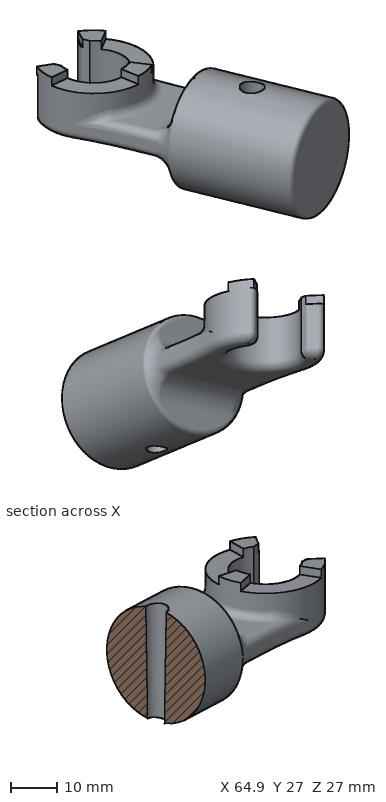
import cadquery as cq
import math

ring_outer_r = 13.0
ring_inner_r = 8.0
ring_top_z = 9.0
mouth_half_width = 6.6
mouth_face_angle = 135.0
mouth_edge_radius = 1.0

tooth_height = 2.0
tooth_half_angle = 13.5
tooth_angles = (0.0, 120.0, 240.0)

plate_half_width = 12.0
plate_half_thickness = 3.0
plate_straight_x = 15.0
flank_radius = 100.0
lower_edge_radius = 2.0
plate_edge_radius = 2.0
ring_plate_radius = 2.0

barrel_r = 13.5
barrel_start_x = 25.0
barrel_length = 31.0
barrel_edge_radius = 1.0
plate_barrel_radius = 5.0

pin_hole_x = 39.0
pin_hole_top_d = 5.5
pin_hole_bottom_d = 4.5

base_z = -plate_half_thickness
flare_x = mouth_half_width / math.tan(math.radians(mouth_face_angle))
tolerance = 0.01


def polar(radius, angle):
    """Point on a circle about the ring axis, angle in degrees from +X."""
    a = math.radians(angle)
    return (radius * math.cos(a), radius * math.sin(a))


def disc(radius, bottom_z, top_z):
    """Upright cylinder on the ring axis."""
    return cq.Workplane("XY").workplane(offset=bottom_z).circle(radius).extrude(top_z - bottom_z)


def make_mouth_cutter():
    """Bore plus the opening toward -X: parallel walls that flare out along radial faces."""
    far_x, far_y = polar(2 * ring_outer_r, mouth_face_angle)
    top_z = ring_top_z + tooth_height
    opening = (
        cq.Workplane("XY")
        .workplane(offset=base_z)
        .moveTo(0, -mouth_half_width)
        .lineTo(flare_x, -mouth_half_width)
        .lineTo(far_x, -far_y)
        .lineTo(far_x, far_y)
        .lineTo(flare_x, mouth_half_width)
        .lineTo(0, mouth_half_width)
        .close()
        .extrude(top_z - base_z)
    )
    return disc(ring_inner_r, base_z, top_z).union(opening)


def make_ring():
    """Open C-shaped ring with a rounded lower rim and rounded tips."""
    ring = disc(ring_outer_r, base_z, ring_top_z).cut(make_mouth_cutter())
    ring = ring.faces("<Z").edges().fillet(lower_edge_radius)
    tip_zone = cq.selectors.BoxSelector(
        (-ring_outer_r, -ring_outer_r, base_z), (flare_x + tolerance, ring_outer_r, ring_top_z)
    )
    return ring.edges("|Z").edges(tip_zone).fillet(mouth_edge_radius)


def make_tooth(angle):
    """Sector of a ring-sized disc on top of the ring, with radial sides, trimmed by the mouth."""
    top_z = ring_top_z + tooth_height
    sector = (
        cq.Workplane("XY")
        .workplane(offset=ring_top_z)
        .moveTo(0, 0)
        .lineTo(*polar(2 * ring_outer_r, angle - tooth_half_angle))
        .lineTo(*polar(2 * ring_outer_r, angle + tooth_half_angle))
        .close()
        .extrude(tooth_height)
    )
    return disc(ring_outer_r, ring_top_z, top_z).cut(make_mouth_cutter()).intersect(sector)


def make_plate():
    """Plate with concave flanks tangent to the ring and rounded long edges."""
    flank_centre_y = plate_half_width + flank_radius
    tangent_angle = math.degrees(math.atan2(flank_centre_y, plate_straight_x))
    tangent_x, tangent_y = polar(ring_outer_r, tangent_angle)
    mid_angle = math.radians((tangent_angle - 270) / 2)
    mid_x = plate_straight_x + flank_radius * math.cos(mid_angle)
    mid_y = flank_centre_y + flank_radius * math.sin(mid_angle)
    end_x = barrel_start_x + barrel_edge_radius
    plate = (
        cq.Workplane("XY")
        .workplane(offset=base_z)
        .moveTo(0, 0)
        .lineTo(tangent_x, tangent_y)
        .threePointArc((mid_x, mid_y), (plate_straight_x, plate_half_width))
        .lineTo(end_x, plate_half_width)
        .lineTo(end_x, -plate_half_width)
        .lineTo(plate_straight_x, -plate_half_width)
        .threePointArc((mid_x, -mid_y), (tangent_x, -tangent_y))
        .close()
        .extrude(2 * plate_half_thickness)
    )
    return plate.faces("|Z").edges("|X").fillet(plate_edge_radius)


def make_barrel():
    """Solid round barrel with both rims rounded."""
    barrel = cq.Workplane("YZ").workplane(offset=barrel_start_x).circle(barrel_r).extrude(barrel_length)
    return barrel.edges("%CIRCLE").fillet(barrel_edge_radius)


def make_arm():
    """Plate and barrel joined by a fillet all round the plate, hollowed to clear the ring bore."""
    arm = make_plate().union(make_barrel())
    joint = cq.selectors.BoxSelector(
        (barrel_start_x - tolerance, -plate_half_width - tolerance, base_z - tolerance),
        (barrel_start_x + tolerance, plate_half_width + tolerance, plate_half_thickness + tolerance),
        boundingbox=True,
    )
    arm = arm.edges(joint).fillet(plate_barrel_radius)
    clearance_r = ring_inner_r + lower_edge_radius
    return arm.cut(disc(clearance_r, base_z, plate_half_thickness))


def make_pin_hole():
    """Cone through the barrel, wide at the top."""
    return (
        cq.Workplane("XY")
        .workplane(offset=-barrel_r)
        .center(pin_hole_x, 0)
        .circle(pin_hole_bottom_d / 2)
        .workplane(offset=2 * barrel_r)
        .circle(pin_hole_top_d / 2)
        .loft()
    )


def join_ring(arm):
    """Add the ring to the arm and round the corner between ring wall and plate top."""
    body = make_ring().union(arm)
    corner = cq.selectors.BoxSelector(
        (0, -ring_outer_r, plate_half_thickness - tolerance),
        (ring_outer_r + tolerance, ring_outer_r, plate_half_thickness + tolerance),
        boundingbox=True,
    )
    return body.edges(corner).edges("%CIRCLE").fillet(ring_plate_radius)


body = join_ring(make_arm())
for tooth_angle in tooth_angles:
    body = body.union(make_tooth(tooth_angle))
result = cq.Workplane(body.cut(make_pin_hole()).solids().val())